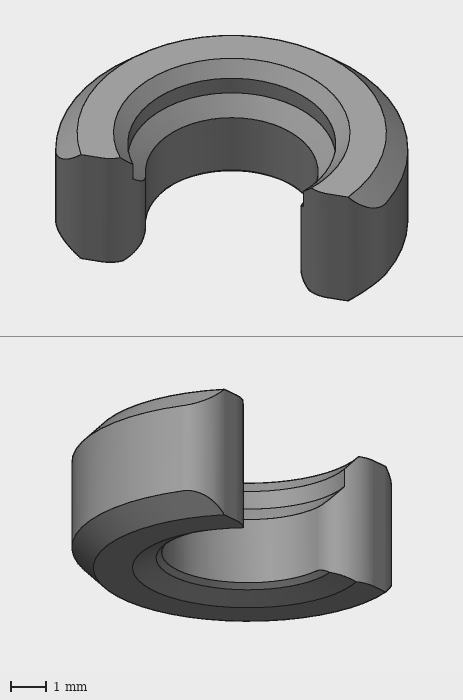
import cadquery as cq

height = 3.8
outer_radius = 5.0
bore_radius = 2.45
outer_chamfer = 0.61

recess_radius = 2.95
recess_mouth_radius = 3.36
recess_mouth_depth = 0.4
recess_wall_depth = 0.93
recess_seat_depth = recess_wall_depth + recess_radius - bore_radius

flare_mouth_radius = 3.28
flare_height = 0.3
bore_break = 0.16

opening_offset = 2.0
opening_angle = 30
end_fillet = 1.0


def ring_blank():
    """C-shaped prism whose ends lie in one plane and have rounded corners."""
    ring = cq.Workplane("XY").circle(outer_radius).circle(bore_radius).extrude(height)
    opening = (
        cq.Workplane("XY")
        .center(0, -opening_offset - outer_radius)
        .rect(4 * outer_radius, 2 * outer_radius)
        .extrude(height)
    )
    blank = ring.cut(opening)
    end_corners = blank.faces("<Y").edges("|Z")
    blank = end_corners.fillet(end_fillet)
    return blank.rotate((0, 0, 0), (0, 0, 1), opening_angle)


def turned_envelope():
    """Ring of revolution carrying the chamfers, the recess and the flare."""
    profile = [
        (flare_mouth_radius, 0),
        (outer_radius - outer_chamfer, 0),
        (outer_radius, outer_chamfer),
        (outer_radius, height - outer_chamfer),
        (outer_radius - outer_chamfer, height),
        (recess_mouth_radius, height),
        (recess_radius, height - recess_mouth_depth),
        (recess_radius, height - recess_wall_depth),
        (bore_radius, height - recess_seat_depth),
        (bore_radius, flare_height + bore_break),
        (bore_radius + bore_break, flare_height),
    ]
    return cq.Workplane("XZ").polyline(profile).close().revolve(360, (0, 0), (0, 1))


result = ring_blank().intersect(turned_envelope())